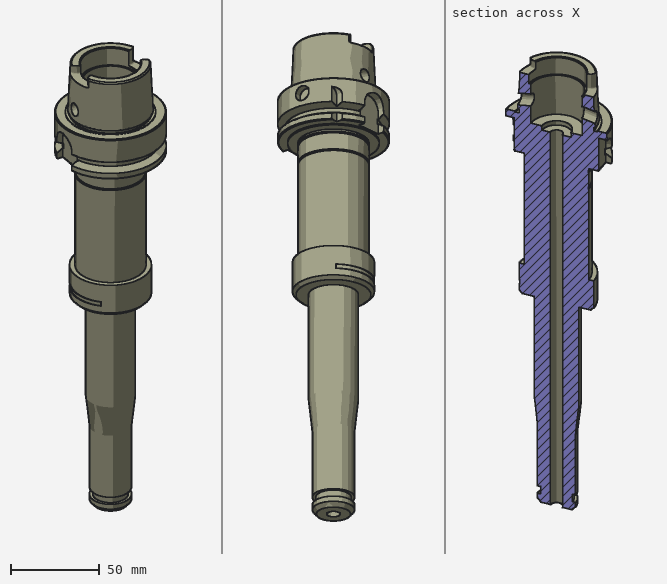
import cadquery as cq
import math

total_length = 287.5

overlap = 3.0

taper_top_d = 45.5
taper_base_d = 48.3
taper_length = 32.0
rim_chamfer = 1.0
relief_d = 46.5
relief_height = 1.5
face_recess_d = 51.0
face_recess_depth = 0.5
flange_top_z = total_length - taper_length
rim_start_z = total_length - rim_chamfer

flange_d = 63.0
flange_height = 26.0
flange_chamfer = 0.5
groove_d = 55.0
groove_floor_height = 2.5
groove_flank_angle = 30.0
groove_center_drop = 18.5
groove_flank_height = (flange_d - groove_d) / 2 * math.tan(math.radians(groove_flank_angle))
flange_bottom_z = flange_top_z - flange_height
groove_z = flange_top_z - groove_center_drop
groove_floor_top_z = groove_z + groove_floor_height / 2
groove_floor_bottom_z = groove_z - groove_floor_height / 2
step_d = 51.8
step_height = 1.0
step_bottom_z = flange_bottom_z - step_height

body_d = 40.2
nut_d = 46.3
nut_top_z = 155.5
nut_height = 20.0
nut_chamfer = 2.0
nut_bottom_z = nut_top_z - nut_height
sleeve_d = 28.2
nose_d = 24.0
cone_top_z = 70.5
cone_height = 19.8
end_groove_d = 20.0
end_groove_height = 4.5
end_collar_height = 5.8
end_chamfer = 2.3
end_chamfer_height = 2.5
end_groove_top_z = end_collar_height + end_groove_height

ring_depth = 0.3
ring_width = 1.0
ring_center_zs = (227.0, 216.2)

mouth_d = 34.0
mouth_depth = 11.5
bore_d = 31.5
bore_depth = 37.5
mouth_chamfer = 0.5
seat_d = 17.8
seat_depth = 3.0
through_d = 7.5

keyway_width = 12.6
keyway_depth_front = 5.5
keyway_depth_back = 10.0
keyway_flare_radius = 3.7
keyway_floor_fillet = 1.2

cross_hole_d = 7.5
cross_hole_drop = 23.5
cross_hole_tilt = 10.0

drive_slot_floor_y = 26.5
drive_slot_width_front = 16.0
drive_slot_width_back = 18.0
drive_slot_drop = 5.0

notch_offset = 20.0
notch_arc_radius = 5.0
notch_drop = 5.5
blind_hole_d = 9.0
blind_hole_depth = 4.5
blind_hole_angle = 7.0
blind_hole_drop = 7.2

band_width = 32.8
band_height = 2.5
band_depth = 0.3
band_center_z = 143.0


def disc(diameter, bottom_z, height):
    return cq.Workplane("XY").workplane(offset=bottom_z).circle(diameter / 2).extrude(height)


def block(x_range, y_range, z_range):
    """Axis-aligned box between the given limits."""
    size = [high - low for low, high in (x_range, y_range, z_range)]
    corner = (x_range[0], y_range[0], z_range[0])
    return cq.Workplane("XY").box(*size, centered=False).translate(corner)


def turned_body():
    flange_r = flange_d / 2
    nose_r = nose_d / 2
    profile = (
        cq.Workplane("XZ")
        .moveTo(0, 0)
        .lineTo(nose_r - end_chamfer, 0)
        .lineTo(nose_r, end_chamfer_height)
        .lineTo(nose_r, end_collar_height)
        .lineTo(end_groove_d / 2, end_collar_height)
        .lineTo(end_groove_d / 2, end_groove_top_z)
        .lineTo(nose_r, end_groove_top_z)
        .lineTo(nose_r, cone_top_z - cone_height)
        .lineTo(sleeve_d / 2, cone_top_z)
        .lineTo(sleeve_d / 2, nut_bottom_z)
        .lineTo(nut_d / 2 - nut_chamfer, nut_bottom_z)
        .lineTo(nut_d / 2, nut_bottom_z + nut_chamfer)
        .lineTo(nut_d / 2, nut_top_z)
        .lineTo(body_d / 2, nut_top_z)
        .lineTo(body_d / 2, step_bottom_z)
        .lineTo(step_d / 2, step_bottom_z)
        .lineTo(step_d / 2, flange_bottom_z)
        .lineTo(flange_r - flange_chamfer, flange_bottom_z)
        .lineTo(flange_r, flange_bottom_z + flange_chamfer)
        .lineTo(flange_r, groove_floor_bottom_z - groove_flank_height)
        .lineTo(groove_d / 2, groove_floor_bottom_z)
        .lineTo(groove_d / 2, groove_floor_top_z)
        .lineTo(flange_r, groove_floor_top_z + groove_flank_height)
        .lineTo(flange_r, flange_top_z - flange_chamfer)
        .lineTo(flange_r - flange_chamfer, flange_top_z)
        .lineTo(face_recess_d / 2, flange_top_z)
        .lineTo(face_recess_d / 2, flange_top_z - face_recess_depth)
        .lineTo(relief_d / 2, flange_top_z - face_recess_depth)
        .lineTo(relief_d / 2, flange_top_z + relief_height)
        .lineTo(taper_base_d / 2, flange_top_z + relief_height)
        .lineTo(taper_top_d / 2, rim_start_z)
        .lineTo(taper_top_d / 2 - rim_chamfer, total_length)
        .lineTo(0, total_length)
        .close()
    )
    return profile.revolve(360, (0, 0, 0), (0, 1, 0))


def surface_ring(diameter, depth, center_z, width):
    """Ring that cuts a shallow groove into a cylinder of the given diameter."""
    bottom_z = center_z - width / 2
    core = disc(diameter - 2 * depth, bottom_z, width)
    return disc(diameter + 2 * overlap, bottom_z, width).cut(core)


def axial_bore():
    floor_z = total_length - bore_depth
    seat_z = floor_z - seat_depth
    ledge_z = total_length - mouth_depth
    profile = (
        cq.Workplane("XZ")
        .moveTo(0, 0)
        .lineTo(through_d / 2, 0)
        .lineTo(through_d / 2, seat_z)
        .lineTo(seat_d / 2, seat_z)
        .lineTo(seat_d / 2, floor_z)
        .lineTo(bore_d / 2, floor_z)
        .lineTo(bore_d / 2, ledge_z)
        .lineTo(mouth_d / 2, ledge_z)
        .lineTo(mouth_d / 2, total_length - mouth_chamfer)
        .lineTo(mouth_d / 2 + mouth_chamfer, total_length)
        .lineTo(0, total_length)
        .close()
    )
    return profile.revolve(360, (0, 0, 0), (0, 1, 0))


def keyway(side, depth):
    """Rim slot on the +Y (side=1) or -Y (side=-1) wall, flaring out to the taper surface."""
    half = keyway_width / 2
    flare = keyway_flare_radius
    outer_y = flange_d / 2
    flare_end_y = math.sqrt((taper_top_d / 2) ** 2 - (half + flare) ** 2)
    throat_y = flare_end_y - flare
    outline = (
        cq.Workplane("XY").workplane(offset=total_length - depth)
        .moveTo(-half, 0)
        .lineTo(-half, throat_y)
        .radiusArc((-half - flare, flare_end_y), -flare)
        .lineTo(-half - flare, outer_y)
        .lineTo(half + flare, outer_y)
        .lineTo(half + flare, flare_end_y)
        .radiusArc((half, throat_y), -flare)
        .lineTo(half, 0)
        .close()
        .extrude(depth)
        .edges("<Z").fillet(keyway_floor_fillet)
    )
    return outline if side > 0 else outline.mirror("XZ")


def cross_hole(side):
    """Hole through the +Y or -Y taper wall, ending inside the bore."""
    z = total_length - cross_hole_drop
    wall_y = taper_base_d / 2
    length = (taper_base_d - mouth_d) / 2 + 2 * overlap
    hole = (
        cq.Workplane("XZ", origin=(0, -wall_y - overlap, z))
        .circle(cross_hole_d / 2).extrude(-length)
        .rotate((0, -wall_y, z), (1, -wall_y, z), cross_hole_tilt)
    )
    return hole if side < 0 else hole.mirror("XZ")


def drive_slot(side, width):
    """Round-topped slot in the flange, open downward, on the +Y or -Y side."""
    center_z = flange_top_z - drive_slot_drop - width / 2
    y_range = sorted((side * drive_slot_floor_y, side * flange_d / 2))
    z_range = (step_bottom_z, center_z)
    straight = block((-width / 2, width / 2), y_range, z_range)
    round_top = (
        cq.Workplane("XZ", origin=(0, y_range[1], 0))
        .center(0, center_z).circle(width / 2).extrude(y_range[1] - y_range[0])
    )
    return straight.union(round_top)


def corner_notch():
    """Square-cornered notch at the (-X, -Y) corner, its floor curving out at the top."""
    top_z = flange_top_z - notch_drop
    arc_z = top_z - notch_arc_radius
    outline = (
        cq.Workplane("XZ", origin=(0, -notch_offset, 0))
        .moveTo(-notch_offset, step_bottom_z)
        .lineTo(-notch_offset, arc_z)
        .radiusArc((-notch_offset - notch_arc_radius, top_z), -notch_arc_radius)
        .lineTo(-flange_d / 2, top_z)
        .lineTo(-flange_d / 2, step_bottom_z)
        .close()
    )
    return outline.extrude(flange_d / 2 - notch_offset)


def blind_hole():
    z = flange_top_z - blind_hole_drop
    floor_r = flange_d / 2 - blind_hole_depth
    length = blind_hole_depth + overlap
    hole = cq.Workplane("YZ", origin=(floor_r, 0, z)).circle(blind_hole_d / 2).extrude(length)
    return hole.rotate((0, 0, 0), (0, 0, 1), 180 + blind_hole_angle)


def nut_band():
    half_height = band_height / 2
    window = block(
        (-band_width / 2, band_width / 2),
        (-nut_d, 0),
        (band_center_z - half_height, band_center_z + half_height),
    )
    return surface_ring(nut_d, band_depth, band_center_z, band_height).intersect(window)


result = (
    turned_body()
    .cut(axial_bore())
    .cut(keyway(-1, keyway_depth_front))
    .cut(keyway(1, keyway_depth_back))
    .cut(cross_hole(-1))
    .cut(cross_hole(1))
    .cut(drive_slot(-1, drive_slot_width_front))
    .cut(drive_slot(1, drive_slot_width_back))
    .cut(corner_notch())
    .cut(blind_hole())
    .cut(nut_band())
)
for ring_z in ring_center_zs:
    result = result.cut(surface_ring(body_d, ring_depth, ring_z, ring_width))